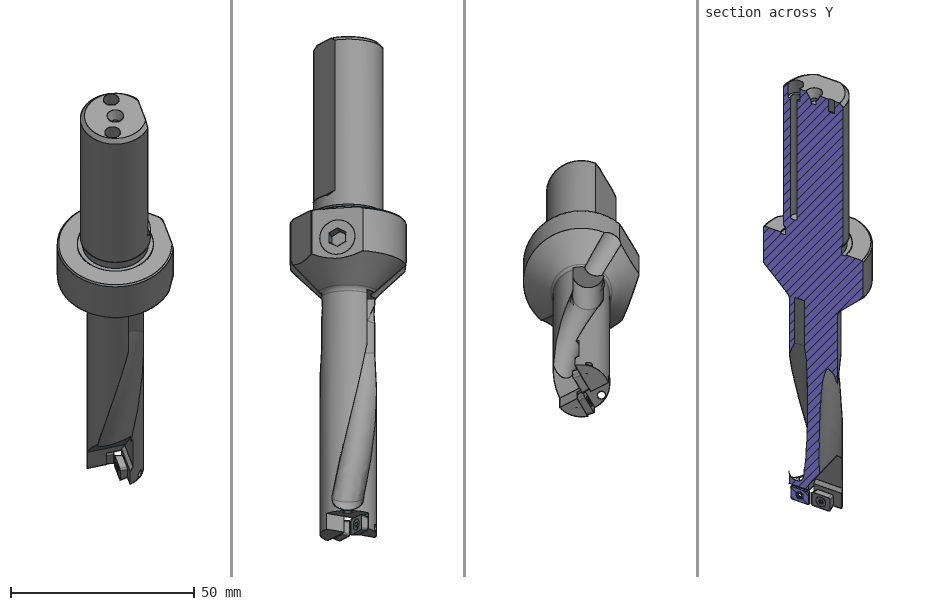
import cadquery as cq
import math

length = 140.5
shank_radius = 9.5
shank_bottom = 91.7
shank_chamfer = 1.1
shank_edge_chamfer = 0.4
neck_radius = 9.0
collar_radius = 15.9
collar_top = 89.6
collar_bottom = 77.0
collar_chamfer = 0.4
recess_radius = 10.4
recess_depth = 0.4

shank_flat_y = 7.6
shank_flat_bottom = 95.4
shank_flat_corner = 1.0
collar_flat_y = 14.9
plug_flat_distance = 14.2
plug_flat_angle = 138.0

stem_radius = 7.7
stem_bottom = 0.5
stem_fillet_radius = 2.1
cone_bottom = collar_bottom - (collar_radius - stem_radius)

flute_radius = 4.4
flute_offset = 6.3
flute_bottom = 9.3
flute_angle = 226.0
flute_straight_bottom = 53.4
flute_twist_rate = 1.744
runout_start = 62.7
runout_heading = 251.0
runout_slope = 45.0
flute_straight_top = 68.8

seat_distance = 2.1
pocket_wall_x = -1.4
central_wall_top = 7.0
central_slope_x = 5.6
central_slope_top = 17.5
central_seat_top = 5.8
central_relief_depth = 1.0
outer_pocket_top = 5.0

insert_width = 5.9
insert_height = 4.5
insert_taper = 7.0
insert_corner_radius = 0.5
central_insert_x = 2.1
outer_insert_x = 4.4
screw_radius = 0.8
screw_head_radius = 1.5
screw_head_depth = 0.7
screw_length = 4.0
screw_socket_diameter = 1.4
screw_socket_depth = 0.5

plug_radius = 4.9
plug_length = 7.0
plug_z = 81.3
plug_socket_diameter = 5.3
plug_socket_depth = 3.5

coolant_inlets = [(-6.2, 0.5), (5.8, -2.4)]
inlet_radius = 2.1
inlet_depth = 4.2
coolant_radius = 1.4
coolant_depth = 45.0
drill_point_angle = 118.0
centre_radius = 2.2
centre_pilot_radius = 0.8
centre_pilot_depth = 3.5
centre_cone_angle = 60.0
outlet_radius = 1.0
outlet_depth = 2.5
outlet_z = 1.8
outlet_angle = 225.0

half_turns = (0, 180)
insert_places = [(0, central_insert_x), (180, outer_insert_x)]


def turned(shape, angle):
    """The shape turned about the axis by an angle."""
    return shape.rotate((0, 0, 0), (0, 0, 1), angle)


def half_space(distance, angle, bottom, top):
    """Block lying beyond a plane at a distance from the axis, facing the given angle."""
    width = 2 * collar_radius
    block = cq.Workplane("XY").box(width, width, top - bottom, centered=(False, True, False))
    return turned(block.translate((distance, 0, bottom)), angle)


def turned_blank():
    """Shank, neck, collar, cone and stem, turned about the axis."""
    middle = math.radians(45 / 2)
    blend = stem_fillet_radius * math.tan(middle)
    diagonal = blend * math.sqrt(0.5)
    arc_mid = (
        stem_radius + stem_fillet_radius * (1 - math.cos(middle)),
        cone_bottom - blend + stem_fillet_radius * math.sin(middle),
    )
    profile = (
        cq.Workplane("XZ")
        .moveTo(0, stem_bottom)
        .lineTo(stem_radius, stem_bottom)
        .lineTo(stem_radius, cone_bottom - blend)
        .threePointArc(arc_mid, (stem_radius + diagonal, cone_bottom + diagonal))
        .lineTo(collar_radius, collar_bottom)
        .lineTo(collar_radius, collar_top - collar_chamfer)
        .lineTo(collar_radius - collar_chamfer, collar_top)
        .lineTo(recess_radius, collar_top)
        .lineTo(recess_radius, collar_top - recess_depth)
        .lineTo(neck_radius, collar_top - recess_depth)
        .lineTo(neck_radius, shank_bottom)
        .lineTo(shank_radius - shank_edge_chamfer, shank_bottom)
        .lineTo(shank_radius, shank_bottom + shank_edge_chamfer)
        .lineTo(shank_radius, length - shank_chamfer)
        .lineTo(shank_radius - shank_chamfer, length)
        .lineTo(0, length)
        .close()
    )
    return profile.revolve(360, (0, 0, 0), (0, 1, 0))


def shank_flat():
    """Flat along the shank, ending in a step above the neck with a chamfered inner corner."""
    profile = [
        (shank_flat_y, length),
        (shank_flat_y, shank_flat_bottom + shank_flat_corner),
        (shank_flat_y + shank_flat_corner, shank_flat_bottom),
        (2 * shank_radius, shank_flat_bottom),
        (2 * shank_radius, length),
    ]
    return cq.Workplane("YZ").polyline(profile).close().extrude(shank_radius, both=True)


def chip_flute():
    """One chip flute as cutters: ball end, twisted part, straight part and runout across the cone."""
    twisted_length = flute_straight_bottom - flute_bottom
    twist = flute_twist_rate * twisted_length
    centre_angle = math.radians(flute_angle)
    centre_x = flute_offset * math.cos(centre_angle)
    centre_y = flute_offset * math.sin(centre_angle)
    bottom = cq.Workplane("XY", origin=(0, 0, flute_bottom)).moveTo(flute_offset, 0)
    ball_end = turned(bottom.sphere(flute_radius, angle1=-90, angle2=0), flute_angle - twist)
    twisted = turned(
        bottom.circle(flute_radius).twistExtrude(twisted_length, twist),
        flute_angle - twist,
    )
    straight = (
        cq.Workplane("XY", origin=(centre_x, centre_y, flute_straight_bottom))
        .circle(flute_radius)
        .extrude(flute_straight_top - flute_straight_bottom)
    )
    heading = math.radians(runout_heading)
    rise = math.tan(math.radians(runout_slope))
    runout = cq.Solid.makeCylinder(
        flute_radius,
        2 * collar_radius,
        cq.Vector(centre_x, centre_y, runout_start),
        cq.Vector(math.cos(heading), math.sin(heading), rise),
    )
    return [ball_end, twisted, straight, cq.Workplane(runout)]


def central_pocket():
    """Pocket on the +X side: seat facing -Y, relieved above, with a side wall that slopes into the flute."""
    outline = [
        (pocket_wall_x, 0),
        (pocket_wall_x, central_wall_top),
        (central_slope_x, central_slope_top),
        (2 * stem_radius, central_slope_top),
        (2 * stem_radius, 0),
    ]
    relief_distance = seat_distance + central_relief_depth
    floor = [
        (-2 * stem_radius, 0),
        (seat_distance, 0),
        (seat_distance, central_seat_top),
        (relief_distance, central_seat_top + central_relief_depth),
        (relief_distance, central_slope_top),
        (-2 * stem_radius, central_slope_top),
    ]
    outline_prism = cq.Workplane("XZ").polyline(outline).close().extrude(2 * stem_radius, both=True)
    floor_prism = cq.Workplane("YZ").polyline(floor).close().extrude(2 * stem_radius, both=True)
    return outline_prism.intersect(floor_prism)


def outer_pocket():
    """Plain pocket on the -X side with its seat facing +Y."""
    size = 2 * stem_radius
    pocket = cq.Workplane("XY").box(size, size, outer_pocket_top, centered=False)
    return pocket.translate((pocket_wall_x - size, -seat_distance, 0))


def make_insert(centre_x):
    """Square insert with tapered flanks, rake face on y = 0 and a countersunk screw hole."""
    blank = (
        cq.Workplane("XZ", origin=(centre_x, 0, insert_height / 2))
        .rect(insert_width, insert_height)
        .extrude(-seat_distance, taper=insert_taper)
    )
    blank = blank.edges("not (|X or |Z)").fillet(insert_corner_radius)
    return blank.cut(screw_blank(centre_x))


def screw_blank(centre_x):
    """Countersunk screw outline, used for the screw itself and for the hole it fills."""
    profile = [
        (0, 0),
        (screw_head_radius, 0),
        (screw_radius, screw_head_depth),
        (screw_radius, screw_length),
        (0, screw_length),
    ]
    screw = cq.Workplane("XY").polyline(profile).close().revolve(360, (0, 0, 0), (0, 1, 0))
    return screw.translate((centre_x, 0, insert_height / 2))


def make_screw(centre_x):
    """Insert screw with a hexagon socket in its head."""
    socket = (
        cq.Workplane("XZ", origin=(centre_x, 0, insert_height / 2))
        .polygon(6, screw_socket_diameter)
        .extrude(-screw_socket_depth)
    )
    return screw_blank(centre_x).cut(socket)


def plug_plane(distance):
    """Plane parallel to the plug flat at a distance from the axis, centred on the plug."""
    angle = math.radians(plug_flat_angle)
    outward = (math.cos(angle), math.sin(angle), 0)
    origin = (distance * outward[0], distance * outward[1], plug_z)
    return cq.Workplane(cq.Plane(origin=origin, xDir=(0, 0, 1), normal=outward))


def plug_blank():
    """Solid cylinder reaching from the plug flat into the collar."""
    return plug_plane(plug_flat_distance).circle(plug_radius).extrude(-plug_length)


def make_plug():
    """Set screw flush with the plug flat, with a hexagon socket."""
    socket = plug_plane(plug_flat_distance).polygon(6, plug_socket_diameter).extrude(-plug_socket_depth)
    return plug_blank().cut(socket)


def coolant_inlet(x, y):
    """Stepped blind hole in the shank end with a conical drill point."""
    point_depth = coolant_radius / math.tan(math.radians(drill_point_angle / 2))
    profile = [
        (0, 0),
        (inlet_radius, 0),
        (inlet_radius, -inlet_depth),
        (coolant_radius, -inlet_depth),
        (coolant_radius, -coolant_depth),
        (0, -coolant_depth - point_depth),
    ]
    hole = cq.Workplane("XZ").polyline(profile).close().revolve(360, (0, 0, 0), (0, 1, 0))
    return hole.translate((x, y, length))


def centre_hole():
    """Centre drilling in the shank end: a cone and a pilot hole."""
    cone_depth = (centre_radius - centre_pilot_radius) / math.tan(math.radians(centre_cone_angle / 2))
    profile = [
        (0, length),
        (centre_radius, length),
        (centre_pilot_radius, length - cone_depth),
        (centre_pilot_radius, length - centre_pilot_depth),
        (0, length - centre_pilot_depth),
    ]
    return cq.Workplane("XZ").polyline(profile).close().revolve(360, (0, 0, 0), (0, 1, 0))


def coolant_outlet():
    """Radial blind hole in the stem just above the tip."""
    angle = math.radians(outlet_angle)
    outward = cq.Vector(math.cos(angle), math.sin(angle), 0)
    start = outward * (stem_radius - outlet_depth) + cq.Vector(0, 0, outlet_z)
    return cq.Workplane(cq.Solid.makeCylinder(outlet_radius, 2 * outlet_depth, start, outward))


def make_body():
    """Drill body with its flats, flutes, pockets, holes and the recesses for the other parts."""
    body = turned_blank().cut(shank_flat())
    body = body.cut(half_space(collar_flat_y, 90, cone_bottom, collar_top))
    body = body.cut(half_space(plug_flat_distance, plug_flat_angle, cone_bottom, collar_top))
    for turn in half_turns:
        for cutter in [*chip_flute(), coolant_outlet()]:
            body = body.cut(turned(cutter, turn))
    body = body.cut(central_pocket()).cut(outer_pocket())
    for x, y in coolant_inlets:
        body = body.cut(coolant_inlet(x, y))
    body = body.cut(centre_hole()).cut(plug_blank())
    for turn, centre_x in insert_places:
        body = body.cut(turned(screw_blank(centre_x), turn))
    return body


body = make_body()
plug = make_plug()
inserts = [turned(make_insert(centre_x), turn) for turn, centre_x in insert_places]
screws = [turned(make_screw(centre_x), turn) for turn, centre_x in insert_places]

bodies = [body, plug, *inserts, *screws]
result = cq.Compound.makeCompound([part.val() for part in bodies])